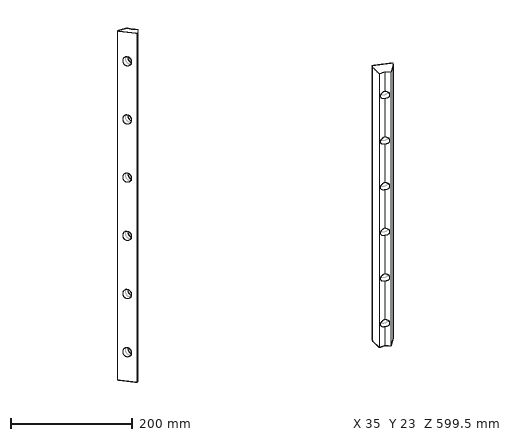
import cadquery as cq

length = 599.5
base_width = 35.0
depth = 23.0
side_height = 5.0
crest_width = 20.0
groove_depth = 3.0

hole_diameter = 15.5
hole_count = 6
hole_pitch = length / hole_count

mounting_face_y = -depth / 2
crest_y = depth / 2
shoulder_y = mounting_face_y + side_height


def make_rail():
    """Tapered bar with a shallow V-groove in its narrow face."""
    half_base = base_width / 2
    half_crest = crest_width / 2
    outline = [
        (-half_base, mounting_face_y),
        (half_base, mounting_face_y),
        (half_base, shoulder_y),
        (half_crest, crest_y),
        (0, crest_y - groove_depth),
        (-half_crest, crest_y),
        (-half_base, shoulder_y),
    ]
    return cq.Workplane("XY").polyline(outline).close().extrude(length / 2, both=True)


def make_holes():
    """Row of round pins that cut the through holes along Y."""
    first_z = -length / 2 + hole_pitch / 2
    centers = [(0, first_z + i * hole_pitch) for i in range(hole_count)]
    return (
        cq.Workplane("XZ")
        .pushPoints(centers)
        .circle(hole_diameter / 2)
        .extrude(depth, both=True)
    )


result = make_rail().cut(make_holes())